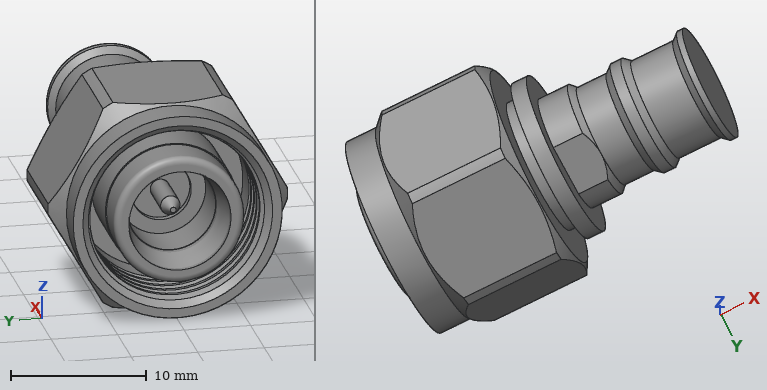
import cadquery as cq
import math

total_length = 27.0

nut_front = 0.8
hex_front = 3.3
nut_back = 12.8
hex_across_flats = 16.0
hex_corner_radius = 18.0 / 2
nut_rim_radius = 7.85
front_bevel_angle = 45.0
back_bevel_angle = 60.0

cavity_floor = 8.1
thread_minor_radius = 6.4
cavity_mouth_radius = 7.13
thread_pitch = 1.0
thread_groove_width = 0.68
thread_flank_angle = 60.0
first_groove_start = 1.2
thread_groove_count = 5

sleeve_radius = 4.9
sleeve_round = 0.5
sleeve_shoulder_radius = 4.97
sleeve_shoulder = 3.1
sleeve_mouth_radius = 3.83
sleeve_bore_radius = 3.35
sleeve_taper_start = 0.35
sleeve_taper_end = 2.55
sleeve_bore_step = 3.1
inner_bore_radius = 3.32
sleeve_bore_floor = 6.75

recess_radius = 2.25
recess_depth = 0.55
pin_radius = 0.73
pin_tip_radius = 0.22
pin_tip = 2.45
pin_cone_length = 1.08

neck_radius = 5.25
flange_radius = 6.37
flange_front = 13.77
flange_back = 15.05
barrel_radius = 4.0
collar_radius = 4.48
flatted_end = 17.47
flatted_cone_end = 17.95
rib_start = 20.4
rib_end = 22.46
rib_crest_start = 21.0
rib_crest_end = 21.9
lip_start = 25.95
lip_crest_start = 26.51


def turned(points):
    """Revolve an (x, radius) outline about the X axis."""
    return cq.Workplane("XY").polyline(points).close().revolve(360, (0, 0, 0), (1, 0, 0))


def cylinder(x_start, x_end, radius):
    return cq.Workplane("YZ", origin=(x_start, 0, 0)).circle(radius).extrude(x_end - x_start)


def make_nut():
    """Round rim followed by a hexagon with flats at top and bottom and turned corners."""
    corner_height = hex_corner_radius - nut_rim_radius
    front_bevel = corner_height / math.tan(math.radians(front_bevel_angle))
    back_bevel = corner_height / math.tan(math.radians(back_bevel_angle))
    hex_diameter = hex_across_flats / math.cos(math.radians(30))
    hexagon = (
        cq.Workplane("YZ", origin=(hex_front, 0, 0))
        .polygon(6, hex_diameter)
        .extrude(nut_back - hex_front)
    )
    bevel_envelope = turned([
        (hex_front, 0),
        (hex_front, nut_rim_radius),
        (hex_front + front_bevel, hex_corner_radius),
        (nut_back - back_bevel, hex_corner_radius),
        (nut_back, nut_rim_radius),
        (nut_back, 0),
    ])
    rim = cylinder(nut_front, hex_front, nut_rim_radius)
    return rim.union(hexagon.intersect(bevel_envelope))


def make_thread_cavity():
    """Bore of the nut with a 45 degree mouth and V-shaped thread rings."""
    mouth_depth = cavity_mouth_radius - thread_minor_radius
    cavity = turned([
        (nut_front, 0),
        (nut_front, cavity_mouth_radius),
        (nut_front + mouth_depth, thread_minor_radius),
        (cavity_floor, thread_minor_radius),
        (cavity_floor, 0),
    ])
    half_width = thread_groove_width / 2
    root_radius = thread_minor_radius + half_width * math.tan(math.radians(thread_flank_angle))
    for index in range(thread_groove_count):
        start = first_groove_start + index * thread_pitch
        groove = turned([
            (start, 0),
            (start, thread_minor_radius),
            (start + half_width, root_radius),
            (start + thread_groove_width, thread_minor_radius),
            (start + thread_groove_width, 0),
        ])
        cavity = cavity.union(groove)
    return cavity


def make_sleeve():
    """Round-nosed sleeve with a tapered and stepped bore, a recessed floor and a pointed pin."""
    sleeve = cylinder(0, cavity_floor, sleeve_radius).faces("<X").edges().fillet(sleeve_round)
    shoulder = cylinder(sleeve_shoulder, cavity_floor, sleeve_shoulder_radius)
    recess_floor = sleeve_bore_floor + recess_depth
    bore = turned([
        (0, 0),
        (0, sleeve_mouth_radius),
        (sleeve_taper_start, sleeve_mouth_radius),
        (sleeve_taper_end, sleeve_bore_radius),
        (sleeve_bore_step, sleeve_bore_radius),
        (sleeve_bore_step, inner_bore_radius),
        (sleeve_bore_floor, inner_bore_radius),
        (sleeve_bore_floor, recess_radius),
        (recess_floor, recess_radius),
        (recess_floor, 0),
    ])
    pin = turned([
        (pin_tip, 0),
        (pin_tip, pin_tip_radius),
        (pin_tip + pin_cone_length, pin_radius),
        (recess_floor, pin_radius),
        (recess_floor, 0),
    ])
    return sleeve.union(shoulder).cut(bore).union(pin)


def make_rear_body():
    """Neck, flange and ribbed barrel; the collar behind the flange has two flats."""
    body = turned([
        (nut_back, 0),
        (nut_back, neck_radius),
        (flange_front, neck_radius),
        (flange_front, flange_radius),
        (flange_back, flange_radius),
        (flange_back, collar_radius),
        (flatted_end, collar_radius),
        (flatted_cone_end, barrel_radius),
        (rib_start, barrel_radius),
        (rib_crest_start, collar_radius),
        (rib_crest_end, collar_radius),
        (rib_end, barrel_radius),
        (lip_start, barrel_radius),
        (lip_crest_start, collar_radius),
        (total_length, collar_radius),
        (total_length, 0),
    ])
    flatted_length = flatted_cone_end - flange_back
    flat_removal = collar_radius - barrel_radius
    for side in (1, -1):
        flat_cut = cq.Workplane("XY").box(flatted_length, 2 * collar_radius, flat_removal)
        flat_cut = flat_cut.translate((
            flange_back + flatted_length / 2,
            0,
            side * (barrel_radius + flat_removal / 2),
        ))
        body = body.cut(flat_cut)
    return body


result = make_nut().cut(make_thread_cavity()).union(make_sleeve()).union(make_rear_body())